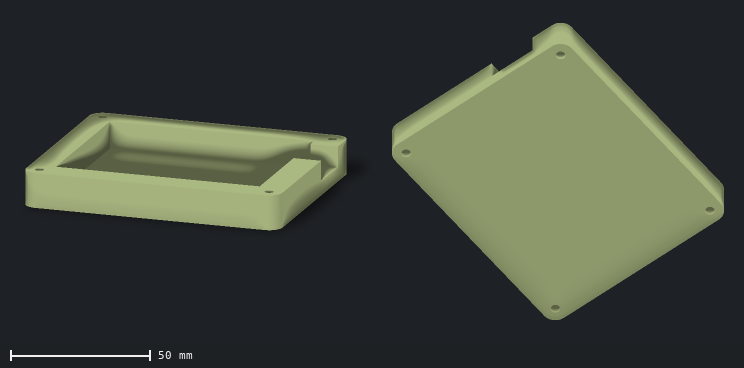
import cadquery as cq

LENGTH = 96.9
WIDTH = 80.2
HEIGHT = 13.0
CORNER_RADIUS = 5.0

POCKET_LENGTH = 77.0
POCKET_WIDTH = 60.2
POCKET_DEPTH = 10.1
LEFT_WALL = 9.5
BACK_WALL = 9.9

NOTCH_WIDTH = 18.6
NOTCH_DEPTH = 7.75
NOTCH_SETBACK = 13.85

HOLE_DIAMETER = 3.4
HOLE_SPACING_X = LENGTH - 2 * CORNER_RADIUS
HOLE_SPACING_Y = WIDTH - 2 * CORNER_RADIUS

LEFT = -LENGTH / 2
RIGHT = LENGTH / 2
BACK = WIDTH / 2


def make_body():
    """Flat block with rounded vertical corners."""
    block = cq.Workplane("XY").box(LENGTH, WIDTH, HEIGHT, centered=(True, True, False))
    return block.edges("|Z").fillet(CORNER_RADIUS)


def cut_from_top(x_min, x_max, y_max, width, depth):
    """Box that reaches down from the top face and runs from y_max toward -Y."""
    box = cq.Workplane("XY").box(x_max - x_min, width, depth, centered=False)
    return box.translate((x_min, y_max - width, HEIGHT - depth))


def make_pocket():
    x_min = LEFT + LEFT_WALL
    return cut_from_top(x_min, x_min + POCKET_LENGTH, BACK - BACK_WALL, POCKET_WIDTH, POCKET_DEPTH)


def make_notch():
    """Opening from the pocket's +X wall out through the +X side."""
    x_min = LEFT + LEFT_WALL + POCKET_LENGTH
    return cut_from_top(x_min, RIGHT, BACK - NOTCH_SETBACK, NOTCH_WIDTH, NOTCH_DEPTH)


def make_screw_holes():
    """One through hole in each corner."""
    centres = cq.Workplane("XY").rect(HOLE_SPACING_X, HOLE_SPACING_Y, forConstruction=True).vertices()
    return centres.circle(HOLE_DIAMETER / 2).extrude(HEIGHT)


result = make_body().cut(make_pocket()).cut(make_notch()).cut(make_screw_holes())